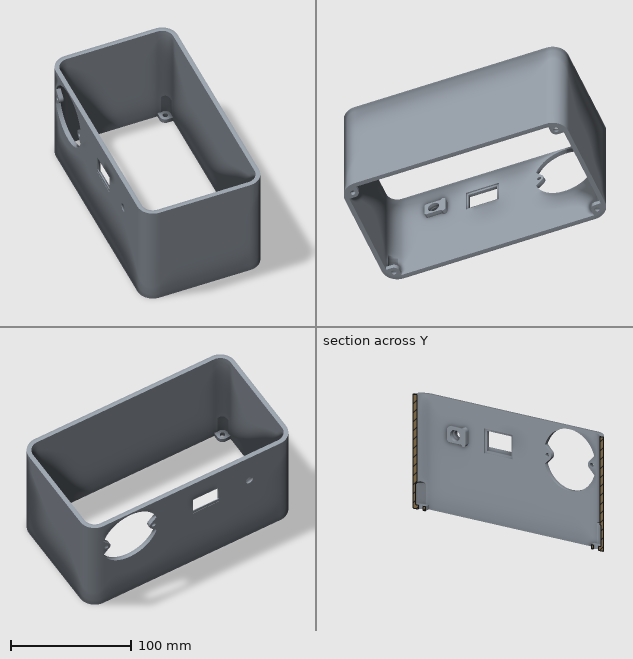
import cadquery as cq
import math

length = 200.0
width = 110.0
height = 100.0
wall = 4.0
corner_radius = 14.0

front_y = -width / 2
inner_front_y = front_y + wall

ledge_thickness = 4.0
screw_offset = 9.0
ledge_radius = screw_offset - wall
screw_diameter = 4.5
head_clearance_height = 18.0

axis_height = 71.0

opening_x = -60.0
opening_diameter = 54.0
tab_screw_spacing = 46.0
tab_screw_diameter = 3.5
tab_radius = 4.0

window_left = 1.0
window_width = 25.5
window_bottom = 62.0
window_height = 17.5
lip_height = 3.0
lip_recess = 0.2
lip_thickness = 0.5
relief_depth = 1.2
relief_margin = 2.0

button_x = 56.0
button_diameter = 7.2
pad_depth = 4.0
pad_bore_diameter = 10.0
pad_left = 45.0
pad_right = 64.2
pad_half_height = 6.5
pad_chamfer = 1.5
lobe_radius = 3.0
lobe_rise = 1.5


def rounded_block(inset):
    """Full-height block, inset from the outer faces, with rounded vertical corners."""
    block = cq.Workplane("XY").rect(length - 2 * inset, width - 2 * inset).extrude(height)
    return block.edges("|Z").fillet(corner_radius - inset)


def wall_plane(y):
    """Sketch plane in X and Z at the given Y; positive extrusion runs toward -Y."""
    return cq.Workplane("XZ", origin=(0, y, 0))


def screw_position(side_x, side_y):
    """X and Y of the screw axis in one corner."""
    return side_x * (length / 2 - screw_offset), side_y * (width / 2 - screw_offset)


def corner_column(side_x, side_y, radius, bottom, column_height):
    """Vertical cylinder on the screw axis of one corner."""
    x, y = screw_position(side_x, side_y)
    return cq.Workplane("XY", origin=(x, y, bottom)).circle(radius).extrude(column_height)


def head_clearance(side_x, side_y):
    """Screw-head clearance above a ledge, closed by a 45 degree cone at the top."""
    column = corner_column(side_x, side_y, ledge_radius, ledge_thickness, head_clearance_height)
    x, y = screw_position(side_x, side_y)
    cone_base = cq.Vector(x, y, ledge_thickness + head_clearance_height)
    cone = cq.Solid.makeCone(ledge_radius, 0, ledge_radius, cone_base)
    return column.union(cq.Workplane(cone))


def axis_cylinder(x, diameter, y_back, depth):
    """Cylinder along Y at the shared axis height, running from y_back by depth toward -Y."""
    return wall_plane(y_back).center(x, axis_height).circle(diameter / 2).extrude(depth)


def corner_ledge(side_x, side_y):
    """Square ledge filling one corner, rounded about its screw axis."""
    x, y = screw_position(side_x, side_y)
    mid = ledge_radius * math.sqrt(0.5)
    ledge = (
        cq.Workplane("XY", origin=(x, y, 0))
        .moveTo(side_x * screw_offset, -side_y * ledge_radius)
        .lineTo(0, -side_y * ledge_radius)
        .threePointArc((-side_x * mid, -side_y * mid), (-side_x * ledge_radius, 0))
        .lineTo(-side_x * ledge_radius, side_y * screw_offset)
        .lineTo(side_x * screw_offset, side_y * screw_offset)
        .close()
        .extrude(ledge_thickness)
    )
    return ledge.intersect(rounded_block(0))


def opening_tab(x, side):
    """Screw tab with a round nose and flanks at 45 degrees, reaching into the round opening."""
    tangent = tab_radius * math.sqrt(0.5)
    run = opening_diameter / 4
    return (
        wall_plane(inner_front_y)
        .center(x, axis_height)
        .moveTo(-side * tangent, tangent)
        .threePointArc((-side * tab_radius, 0), (-side * tangent, -tangent))
        .lineTo(side * (run - tangent), -tangent - run)
        .lineTo(side * (run - tangent), tangent + run)
        .close()
        .extrude(wall)
    )


def button_pad():
    """Pad on the inside of the front wall, symmetric above and below the button axis."""
    crest = pad_half_height + lobe_rise
    lobe_x = pad_left + lobe_radius
    lobe_mid = lobe_radius * math.sqrt(0.5)
    upper_half = (
        wall_plane(inner_front_y)
        .center(0, axis_height)
        .moveTo(pad_left, 0)
        .lineTo(pad_left, crest - lobe_radius)
        .threePointArc((lobe_x - lobe_mid, crest - lobe_radius + lobe_mid), (lobe_x, crest))
        .lineTo(lobe_x + lobe_rise, pad_half_height)
        .lineTo(pad_right - pad_chamfer, pad_half_height)
        .lineTo(pad_right, pad_half_height - pad_chamfer)
        .lineTo(pad_right, 0)
        .close()
        .extrude(-pad_depth)
    )
    lower_half = upper_half.mirror("XY", (0, 0, axis_height))
    return upper_half.union(lower_half)


def window_box(bottom, box_height, margin, y_front, y_back):
    """Box over the window, widened by a margin on all sides, between two Y positions."""
    return (
        wall_plane(y_back)
        .center(window_left + window_width / 2, bottom + box_height / 2)
        .rect(window_width + 2 * margin, box_height + 2 * margin)
        .extrude(y_back - y_front)
    )


result = rounded_block(0).cut(rounded_block(wall))

for side_x in (-1, 1):
    for side_y in (-1, 1):
        hole = corner_column(side_x, side_y, screw_diameter / 2, 0, ledge_thickness)
        result = result.union(corner_ledge(side_x, side_y)).cut(hole).cut(head_clearance(side_x, side_y))

opening = axis_cylinder(opening_x, opening_diameter, inner_front_y, wall)
for side in (-1, 1):
    screw_x = opening_x + side * tab_screw_spacing / 2
    tab_screw = axis_cylinder(screw_x, tab_screw_diameter, inner_front_y, wall)
    opening = opening.cut(opening_tab(screw_x, side))
    result = result.cut(tab_screw)
result = result.cut(opening)

relief_y = inner_front_y - relief_depth
lip_y = front_y + lip_recess
window = window_box(window_bottom, window_height, 0, front_y, inner_front_y)
relief = window_box(window_bottom, window_height, relief_margin, relief_y, inner_front_y)
lip = window_box(window_bottom, lip_height, 0, lip_y, lip_y + lip_thickness)
result = result.cut(window).cut(relief).union(lip)

pad_bore = axis_cylinder(button_x, pad_bore_diameter, inner_front_y, -pad_depth)
button_hole = axis_cylinder(button_x, button_diameter, inner_front_y, wall)
result = result.union(button_pad().cut(pad_bore)).cut(button_hole)